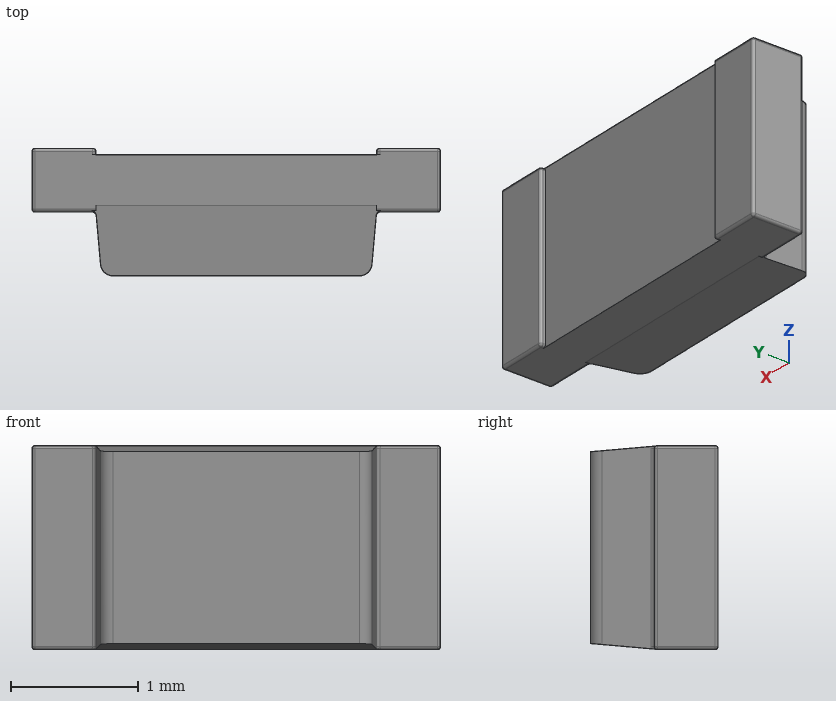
import cadquery as cq
import math

LENGTH = 3.2
DEPTH = 1.0
HEIGHT = 1.6

TERMINAL_WIDTH = 0.5
TERMINAL_DEPTH = 0.5
PLATING = 0.05
TERMINAL_FILLET = 0.025

LENS_ROOT_LENGTH = 2.2
LENS_DRAFT_ANGLE = 5.0
LENS_CORNER_RADIUS = 0.1
LENS_ROOT_RADIUS = 0.03

BACK_Y = DEPTH / 2
FRONT_Y = -DEPTH / 2
SUBSTRATE_BACK_Y = BACK_Y - PLATING
SUBSTRATE_DEPTH = TERMINAL_DEPTH - 2 * PLATING
SUBSTRATE_FRONT_Y = SUBSTRATE_BACK_Y - SUBSTRATE_DEPTH
TERMINAL_FRONT_Y = BACK_Y - TERMINAL_DEPTH
INNER_LENGTH = LENGTH - 2 * TERMINAL_WIDTH
LENS_DEPTH = SUBSTRATE_FRONT_Y - FRONT_Y
LENS_BASE_LENGTH = LENS_ROOT_LENGTH + 2 * PLATING * math.tan(math.radians(LENS_DRAFT_ANGLE))


def block(x_size, y_size, center_x, back_y):
    """Full-height block with its back face at back_y."""
    return cq.Workplane("XY").box(x_size, y_size, HEIGHT).translate((center_x, back_y - y_size / 2, 0))


def make_terminal(side):
    center_x = side * (LENGTH - TERMINAL_WIDTH) / 2
    return block(TERMINAL_WIDTH, TERMINAL_DEPTH, center_x, BACK_Y).edges().fillet(TERMINAL_FILLET)


def make_substrate():
    """Bar between the terminals, recessed at the front to seat the lens.

    Its ends reach into the terminals and close their rounded inner edges up to the terminal fronts.
    """
    bar_length = INNER_LENGTH + 2 * TERMINAL_FILLET
    bar = block(bar_length, SUBSTRATE_DEPTH + PLATING, 0, SUBSTRATE_BACK_Y)
    bar = bar.edges("|X and <Y").fillet(TERMINAL_FILLET)
    return bar.cut(block(LENS_ROOT_LENGTH, PLATING, 0, SUBSTRATE_FRONT_Y))


def make_lens():
    return (
        cq.Workplane("XZ", origin=(0, SUBSTRATE_FRONT_Y, 0))
        .rect(LENS_BASE_LENGTH, HEIGHT)
        .extrude(LENS_DEPTH, taper=LENS_DRAFT_ANGLE)
        .faces("<Y")
        .edges("|Z")
        .fillet(LENS_CORNER_RADIUS)
    )


def blend_lens_root(body, side):
    """Round the concave corner between the terminal front and the lens side."""
    corner = (side * LENS_ROOT_LENGTH / 2, TERMINAL_FRONT_Y, 0)
    return body.edges(cq.selectors.NearestToPointSelector(corner)).fillet(LENS_ROOT_RADIUS)


result = make_substrate().union(make_lens())
for side in (-1, 1):
    result = result.union(make_terminal(side))
for side in (-1, 1):
    result = blend_lens_root(result, side)